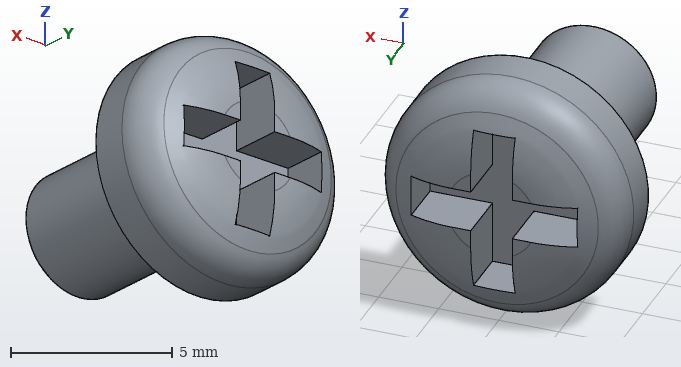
import cadquery as cq

total_length = 9.28
shank_radius = 4.17 / 2
shank_length = 6.36
tip_chamfer = 0.53

head_radius = 8.18 / 2
band_height = 1.27
rounding_radius = 1.33
crown_rim_radius = 3.37
crown_rim_height = 2.44
crown_flat_radius = 1.485

recess_width = 1.38
recess_span = 5.53
recess_depth = 1.86

band_top_y = shank_length + band_height
crown_rim_y = shank_length + crown_rim_height

crown_run = crown_rim_radius - crown_flat_radius
crown_drop = total_length - crown_rim_y
crown_arc_radius = (crown_run**2 + crown_drop**2) / (2 * crown_drop)


def revolved_body():
    """Shank and head, revolved about the Y axis from a half profile in XY."""
    profile = (
        cq.Workplane("XY")
        .lineTo(shank_radius - tip_chamfer, 0)
        .lineTo(shank_radius, tip_chamfer)
        .lineTo(shank_radius, shank_length)
        .lineTo(head_radius, shank_length)
        .lineTo(head_radius, band_top_y)
        .radiusArc((crown_rim_radius, crown_rim_y), -rounding_radius)
        .radiusArc((crown_flat_radius, total_length), -crown_arc_radius)
        .lineTo(0, total_length)
        .close()
    )
    return profile.revolve(360, (0, 0, 0), (0, 1, 0))


def cross_recess():
    """Two crossed bars that cut a blind cross into the crown."""
    bar_center = (0, total_length - recess_depth / 2, 0)
    along_x = cq.Workplane("XY").box(recess_span, recess_depth, recess_width)
    along_z = cq.Workplane("XY").box(recess_width, recess_depth, recess_span)
    return along_x.union(along_z).translate(bar_center)


result = revolved_body().cut(cross_recess())